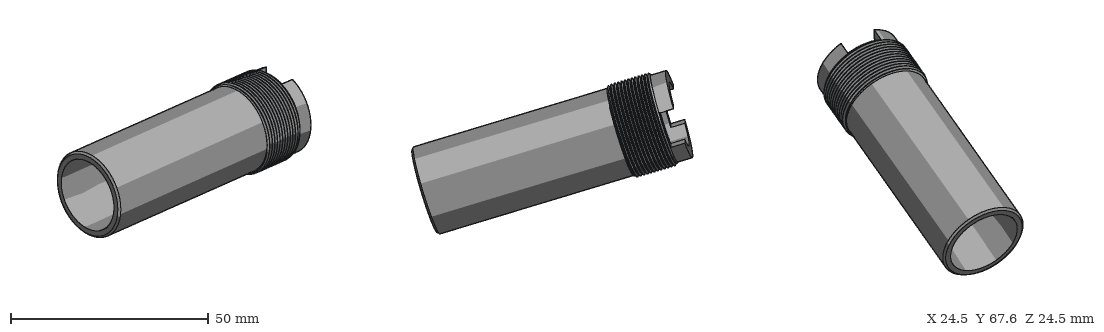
import cadquery as cq

length = 67.6
tube_radius = 11.55
mouth_chamfer = 0.55
front_y = -length / 2
back_y = length / 2

mouth_radius = 9.6
throat_radius = 8.45

slot_width = 9.5
slot_depth = 3.7

crest_radius = 12.25
thread_length = 11.75
thread_turns = 13
thread_back_gap = 3.85
pitch = thread_length / thread_turns
thread_front_y = back_y - thread_back_gap - thread_length
root_width = 0.98 * pitch
crest_width = 0.15 * pitch
root_overlap = 0.15
first_crest_gap = 3.65
sleeve_clearance = 0.1


def tube_blank():
    """Solid bar with a chamfered front end."""
    bar = cq.Workplane("XZ", origin=(0, back_y, 0)).circle(tube_radius).extrude(length)
    return bar.faces("<Y").chamfer(mouth_chamfer)


def thread_sleeve():
    """Bevelled ring that bounds the thread at both ends."""
    thread_back_y = thread_front_y + thread_length
    envelope_radius = crest_radius + sleeve_clearance
    bevel = envelope_radius - tube_radius
    return (
        cq.Workplane("XY")
        .polyline([
            (throat_radius, thread_front_y),
            (tube_radius, thread_front_y),
            (envelope_radius, thread_front_y + bevel),
            (envelope_radius, thread_back_y - bevel),
            (tube_radius, thread_back_y),
            (throat_radius, thread_back_y),
        ])
        .close()
        .revolve(360, (0, 0, 0), (0, 1, 0))
    )


def thread_ridge():
    """Helical ridge that overruns the thread at both ends, trimmed by the sleeve."""
    ridge_length = (thread_turns + 2) * pitch
    helix = cq.Wire.makeHelix(pitch, ridge_length, tube_radius)
    inner_radius = tube_radius - root_overlap
    profile = cq.Workplane("XZ").polyline([
        (inner_radius, -root_width / 2),
        (crest_radius, -crest_width / 2),
        (crest_radius, crest_width / 2),
        (inner_radius, root_width / 2),
    ]).close()
    ridge = profile.sweep(cq.Workplane(obj=helix), isFrenet=True)
    ridge = ridge.rotate((0, 0, 0), (1, 0, 0), 90)
    ridge = ridge.rotate((0, 0, 0), (0, 1, 0), -90)
    start_y = back_y - first_crest_gap + pitch
    return ridge.translate((0, start_y, 0)).intersect(thread_sleeve())


def bore():
    """Tapered bore through the whole length, as a revolved cutter."""
    return (
        cq.Workplane("XY")
        .polyline([
            (0, front_y),
            (mouth_radius, front_y),
            (throat_radius, back_y),
            (0, back_y),
        ])
        .close()
        .revolve(360, (0, 0, 0), (0, 1, 0))
    )


def back_slot():
    """Slot cut right across the back end."""
    return cq.Workplane("XY").box(slot_width, slot_depth, 2 * crest_radius).translate(
        (0, back_y - slot_depth / 2, 0)
    )


result = tube_blank().cut(bore()).union(thread_ridge()).cut(back_slot())